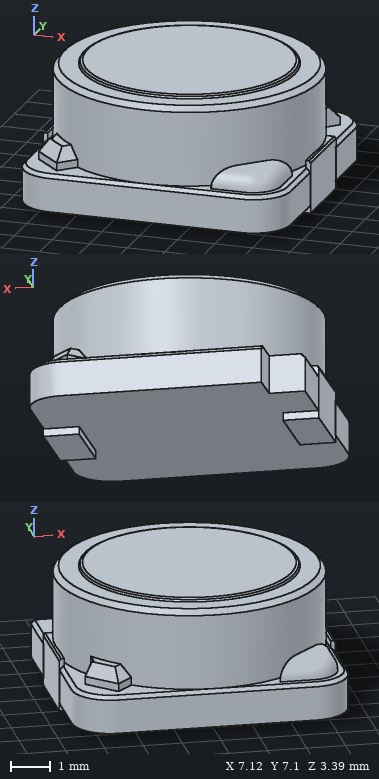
import cadquery as cq

length_x = 7.12
length_y = 7.1
foot_thickness = 0.2
base_top = 1.195
terminal_top = 1.395
tab_top = 1.71
body_top = 3.305
part_top = 3.39

corner_radius = 0.99
base_chamfer = 0.1
notch_size = 0.925

body_diameter = 6.9
body_chamfer = 0.14
disc_base_radius = 2.8
disc_rim_radius = 2.76
disc_top_radius = 2.7
disc_bevel_height = 0.035

terminal_width = 2.02
terminal_foot = 0.925
lip_thickness = 0.13
lip_filler_depth = 0.285
lip_chamfer = 0.05

tab_width = 1.01
tab_reach = 4.0
tab_slope = 0.305
tab_root = 2.85
tab_kink = 0.39

pad_edge = 3.29
pad_leg = 1.62
pad_corner_radius = 0.74
pad_fillet = 0.5


def make_base():
    """Rounded plate, chamfered on top, with a square notch in the -X +Y corner."""
    plate = (
        cq.Workplane("XY", origin=(0, 0, foot_thickness))
        .rect(length_y, length_y)
        .extrude(base_top - foot_thickness)
        .edges("|Z and (>X or <Y)")
        .fillet(corner_radius)
        .faces(">Z")
        .edges()
        .chamfer(base_chamfer)
    )
    half = length_y / 2
    notch = (
        cq.Workplane("XY")
        .center(-half, half)
        .rect(2 * notch_size, 2 * notch_size)
        .extrude(part_top)
    )
    return plate.cut(notch)


def make_body():
    """Chamfered cylinder carrying a thin disc with a tapered side and a bevelled rim."""
    cylinder = (
        cq.Workplane("XY", origin=(0, 0, foot_thickness))
        .circle(body_diameter / 2)
        .extrude(body_top - foot_thickness)
        .faces(">Z")
        .chamfer(body_chamfer)
    )
    disc = (
        cq.Workplane("XZ")
        .moveTo(0, body_top)
        .lineTo(disc_base_radius, body_top)
        .lineTo(disc_rim_radius, part_top - disc_bevel_height)
        .lineTo(disc_top_radius, part_top)
        .lineTo(0, part_top)
        .close()
        .revolve(360, (0, 0, 0), (0, 1, 0))
    )
    return cylinder.union(disc)


def make_terminal():
    """L-shaped strip on the -X side: a foot below the base and an upright lip.

    The +Y half of the lip is filled in up to the round body.
    """
    outer = -length_x / 2
    strip = (
        cq.Workplane("XZ")
        .moveTo(outer, 0)
        .lineTo(outer + terminal_foot, 0)
        .lineTo(outer + terminal_foot, foot_thickness)
        .lineTo(outer + lip_thickness, foot_thickness)
        .lineTo(outer + lip_thickness, terminal_top)
        .lineTo(outer + lip_chamfer, terminal_top)
        .lineTo(outer, terminal_top - lip_chamfer)
        .close()
        .extrude(terminal_width / 2, both=True)
    )
    filler = cq.Workplane("XY").box(
        lip_filler_depth - lip_chamfer,
        terminal_width / 2,
        terminal_top - foot_thickness,
        centered=False,
    )
    return strip.union(filler.translate((outer + lip_chamfer, 0, foot_thickness)))


def make_tab():
    """Wedge tab on the -X -Y corner, first built pointing along +X."""
    half = tab_width / 2
    kink_x = tab_reach - tab_kink
    root_y = half + kink_x - tab_root
    shoulder = tab_top - tab_slope
    plan = (
        cq.Workplane("XY", origin=(0, 0, foot_thickness))
        .moveTo(tab_root, half)
        .lineTo(tab_reach, half)
        .lineTo(tab_reach, -half)
        .lineTo(kink_x, -half)
        .lineTo(tab_root, -root_y)
        .close()
        .extrude(tab_top - foot_thickness)
    )
    end_slope = (
        cq.Workplane("XZ")
        .moveTo(tab_reach, shoulder)
        .lineTo(tab_reach, tab_top)
        .lineTo(tab_reach - tab_slope, tab_top)
        .close()
        .extrude(tab_reach, both=True)
    )
    side_slope = (
        cq.Workplane("YZ")
        .moveTo(half, shoulder)
        .lineTo(half, tab_top)
        .lineTo(half - tab_slope, tab_top)
        .close()
        .extrude(tab_reach)
    )
    tab = plan.cut(end_slope).cut(side_slope)
    return tab.rotate((0, 0, 0), (0, 0, 1), 225)


def make_pad():
    """Corner pad with rounded outer edges, cut off square along a diagonal."""
    pad = (
        cq.Workplane("XY", origin=(0, 0, foot_thickness))
        .rect(2 * pad_edge, 2 * pad_edge)
        .extrude(tab_top - foot_thickness)
        .edges("|Z")
        .fillet(pad_corner_radius)
        .faces(">Z")
        .edges()
        .fillet(pad_fillet)
    )
    corner = (
        cq.Workplane("XY")
        .moveTo(pad_edge, -pad_edge)
        .lineTo(pad_edge, -pad_edge + pad_leg)
        .lineTo(pad_edge - pad_leg, -pad_edge)
        .close()
        .extrude(part_top)
    )
    return pad.intersect(corner)


terminal = make_terminal()
tab = make_tab()

result = make_base().union(make_body()).union(make_pad())
result = result.union(terminal).union(terminal.mirror("YZ"))
result = result.union(tab).union(tab.rotate((0, 0, 0), (0, 0, 1), 180))